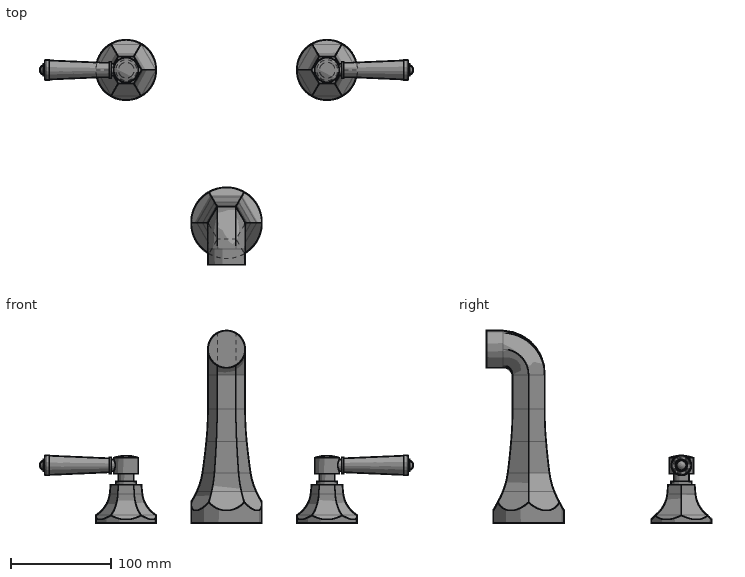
import cadquery as cq
import math


handle_spacing = 100.0
handle_setback = 152.3

spout_base_radius = 35.5
outlet_radius = 18.5
bend_radius = 25.7
bend_height = 148.0
outlet_reach = 42.0
stem_half_width = outlet_radius * math.cos(math.radians(30))
spout_flare = [
    (stem_half_width, 114.5),
    (17.5, 82.0),
    (21.0, 50.3),
    (25.7, 31.5),
    (spout_base_radius, 12.5),
]

handle_base_radius = 30.0
base_rim_height = 3.7
base_break_height = 8.2
base_break_half_width = 25.7
base_waist_height = 29.5
base_waist_half_width = 14.0
base_top_height = 38.5
base_top_half_width = 13.5

collar_radius = 10.5
collar_top = 41.7
neck_radius = 8.0
hub_radius = 12.3
hub_bottom = 49.0
hub_edge_height = 65.0
hub_top = 67.5

lever_height = 57.7
lever_neck_radius = 6.0
ring_start = 14.5
ring_radius = 8.2
grip_start = 16.8
grip_start_radius = 7.0
grip_end = 76.7
grip_end_radius = 9.5
rim_radius = 10.0
rim_rounding = 1.5
rim_end = 81.0
boss_radius = 6.0
boss_end = 82.3
button_radius = 5.0
lever_end = 86.0


def hexagonal_column(side):
    """Solid whose six flats all follow `side`, a half profile that starts and ends on the Z axis.

    Corners lie on the X axis; flats face +Y and -Y.
    """
    reach = 2 * spout_base_radius
    half_slab = side.close().extrude(reach, both=True)
    slab = half_slab.union(half_slab.mirror("YZ")).rotate((0, 0, 0), (0, 0, 1), 90)
    column = slab
    for angle in (60, 120):
        column = column.intersect(slab.rotate((0, 0, 0), (0, 0, 1), angle))
    return column


def cylinder(radius, bottom, top):
    return cq.Workplane("XY").workplane(offset=bottom).circle(radius).extrude(top - bottom)


def cap_middle(base, base_radius, tip):
    """Point halfway along a spherical cap's profile, as (distance along the axis, radius)."""
    rise = tip - base
    sphere_radius = (base_radius**2 + rise**2) / (2 * rise)
    half_angle = math.atan2(base_radius, sphere_radius - rise) / 2
    middle = tip - sphere_radius * (1 - math.cos(half_angle))
    return middle, sphere_radius * math.sin(half_angle)


def spout_body():
    """Hexagonal stem flaring into a round foot."""
    foot_half_width, foot_height = spout_flare[-1]
    side = cq.Workplane("XZ").moveTo(0, bend_height).lineTo(stem_half_width, bend_height)
    side = side.lineTo(*spout_flare[0])
    for point in spout_flare[1:]:
        side = side.tangentArcPoint(point, relative=False)
    side = side.lineTo(0, foot_height)
    stem = hexagonal_column(side).intersect(cylinder(spout_base_radius, 0, bend_height))
    return stem.union(cylinder(spout_base_radius, 0, foot_height))


def outlet_wire():
    """Outlet circle at the elbow's end, in six arcs that match the stem's six sides."""
    wire = cq.Workplane("XZ", origin=(0, -bend_radius, bend_height + bend_radius))
    wire = wire.moveTo(outlet_radius, 0)
    for corner in range(6):
        middle = math.radians(60 * corner + 30)
        end = math.radians(60 * corner + 60)
        middle_point = (outlet_radius * math.cos(middle), outlet_radius * math.sin(middle))
        end_point = (outlet_radius * math.cos(end), outlet_radius * math.sin(end))
        wire = wire.threePointArc(middle_point, end_point)
    return wire.close()


def spout_elbow():
    """Quarter bend that changes from the hexagon to the round outlet."""
    hexagon = cq.Workplane("XY").workplane(offset=bend_height).polygon(6, 2 * outlet_radius)
    path = (
        cq.Workplane("YZ")
        .moveTo(0, bend_height)
        .radiusArc((-bend_radius, bend_height + bend_radius), -bend_radius)
        .wire()
    )
    elbow = cq.Solid.sweep_multi(
        [hexagon.val(), outlet_wire().val()], path.val()
    )
    return cq.Workplane("XY").newObject([elbow])


def make_spout():
    outlet = outlet_wire().extrude(outlet_reach - bend_radius)
    return spout_body().union(spout_elbow()).union(outlet)


def handle_base():
    """Hexagonal flared base with a round rim."""
    side = (
        cq.Workplane("XZ")
        .moveTo(0, base_top_height)
        .lineTo(base_top_half_width, base_top_height)
        .lineTo(base_waist_half_width, base_waist_height)
        .tangentArcPoint((base_break_half_width, base_break_height), relative=False)
        .lineTo(handle_base_radius, base_rim_height)
        .lineTo(handle_base_radius, 0)
        .lineTo(0, 0)
    )
    return hexagonal_column(side).intersect(cylinder(handle_base_radius, 0, base_top_height))


def handle_hub():
    """Collar, neck and domed hub, turned about the handle axis."""
    dome_middle_height, dome_middle_radius = cap_middle(hub_edge_height, hub_radius, hub_top)
    return (
        cq.Workplane("XZ")
        .moveTo(0, base_top_height)
        .lineTo(collar_radius, base_top_height)
        .lineTo(collar_radius, collar_top)
        .lineTo(neck_radius, collar_top)
        .lineTo(neck_radius, hub_bottom)
        .lineTo(hub_radius, hub_bottom)
        .lineTo(hub_radius, hub_edge_height)
        .threePointArc((dome_middle_radius, dome_middle_height), (0, hub_top))
        .close()
        .revolve(360, (0, 0, 0), (0, 1, 0))
    )


def lever():
    """Tapered grip with a ring near the hub and a rounded rim and button at its tip."""
    rim_shoulder = rim_radius - rim_rounding
    profile = (
        cq.Workplane("XZ", origin=(0, 0, lever_height))
        .lineTo(0, lever_neck_radius)
        .lineTo(ring_start, lever_neck_radius)
        .lineTo(ring_start, ring_radius)
        .lineTo(grip_start, ring_radius)
        .lineTo(grip_start, grip_start_radius)
        .lineTo(grip_end, grip_end_radius)
        .lineTo(grip_end, rim_radius)
        .lineTo(rim_end - rim_rounding, rim_radius)
        .radiusArc((rim_end, rim_shoulder), rim_rounding)
        .lineTo(rim_end, boss_radius)
        .lineTo(boss_end, boss_radius)
        .lineTo(boss_end, button_radius)
        .threePointArc(cap_middle(boss_end, button_radius, lever_end), (lever_end, 0))
        .close()
    )
    return profile.revolve(360, (0, 0, 0), (1, 0, 0))


def make_handle():
    """Handle on the Z axis with its lever pointing along +X."""
    return handle_base().union(handle_hub()).union(lever())


spout = make_spout()

handles = cq.Workplane()
for side_sign, turn in ((1, 0), (-1, 180)):
    handle = make_handle().rotate((0, 0, 0), (0, 0, 1), turn)
    handles = handles.add(handle.translate((side_sign * handle_spacing, handle_setback, 0)))

result = cq.Compound.makeCompound([spout.val(), *handles.vals()])